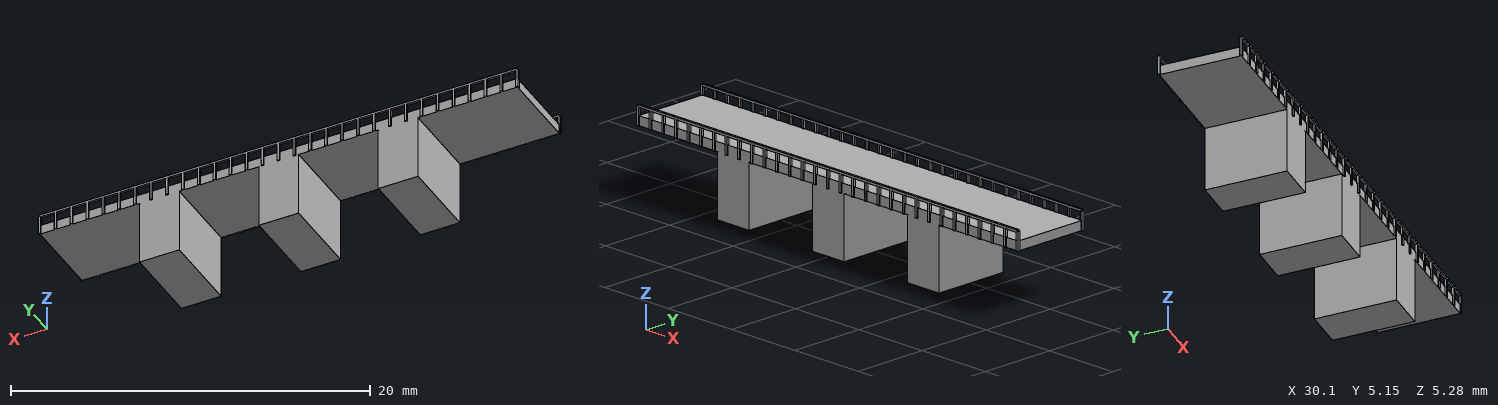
import cadquery as cq

overall_length = 30.15
overall_height = 5.28

bar_size = 0.15
bay_count = 30

deck_length = overall_length - bar_size
deck_width = 5.0
deck_thickness = 0.6

pier_count = 3
pier_length = 2.5
pier_height = 4.0
pier_pitch = deck_length / (pier_count + 1)

post_pitch = deck_length / bay_count
rail_axis_height = overall_height - bar_size / 2
post_height = rail_axis_height - pier_height


def block(length, width, height, x, y, base_z):
    """Box centred on (x, y) and standing on base_z."""
    return (
        cq.Workplane("XY")
        .box(length, width, height, centered=(True, True, False))
        .translate((x, y, base_z))
    )


def make_pier(index):
    x = -deck_length / 2 + (index + 1) * pier_pitch
    return block(pier_length, deck_width, pier_height, x, 0, 0)


def make_railing(y):
    """Handrail on a row of posts that start level with the deck underside."""
    railing = block(deck_length, bar_size, bar_size, 0, y, rail_axis_height - bar_size / 2)
    for index in range(bay_count + 1):
        x = -deck_length / 2 + index * post_pitch
        railing = railing.union(block(bar_size, bar_size, post_height, x, y, pier_height))
    return railing


result = block(deck_length, deck_width, deck_thickness, 0, 0, pier_height)
for pier_index in range(pier_count):
    result = result.union(make_pier(pier_index))
for side in (-1, 1):
    result = result.union(make_railing(side * deck_width / 2))
result = result.clean()